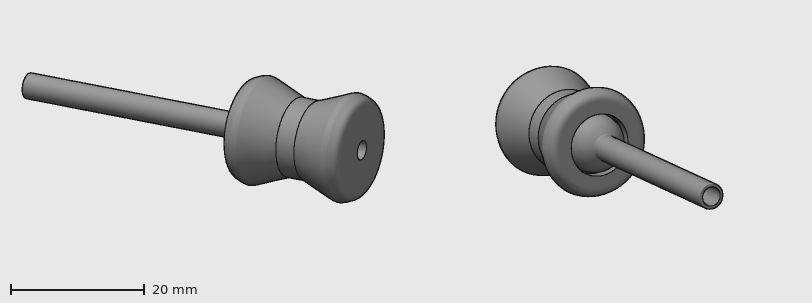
import cadquery as cq
import math

total_length = 56.75
bore_radius = 1.5

knob_length = 19.65
crest_slope = 21.5
knob_diameter = 16.75
crest_inset = 2.2
crest_round = 1.4
corner_round = 1.15
waist_radius = 6.15
waist_length = 3.05
recess_radius = 4.75

tube_radius = 2.0
ball_radius = 4.55
seat_depth = 1.9
tip_round = 0.15
neck_round = 0.3

ring_tolerance = 0.005

knob_start = total_length - knob_length
knob_middle = total_length - knob_length / 2
seat_x = knob_start + seat_depth


def make_bore():
    """Through bore shared by the tube and the knob."""
    return cq.Workplane("YZ").circle(bore_radius).extrude(total_length)


def ring_at(x):
    """Selector for the circular edge centred on the axis at x."""
    return cq.selectors.BoxSelector(
        (x - ring_tolerance, -knob_diameter, -knob_diameter),
        (x + ring_tolerance, knob_diameter, knob_diameter),
    )


def make_knob():
    """Spool turned about X, with a flat-bottomed recess for the half ball."""
    slope = math.radians(crest_slope)
    ridge_radius = knob_diameter / 2 + crest_round * (1 / math.cos(slope) - 1)
    end_radius = ridge_radius - crest_inset * math.tan(slope)
    left_ridge_x = knob_start + crest_inset
    right_ridge_x = total_length - crest_inset

    spool = (
        cq.Workplane("XY")
        .moveTo(knob_start, 0)
        .lineTo(knob_start, end_radius)
        .lineTo(left_ridge_x, ridge_radius)
        .lineTo(knob_middle - waist_length / 2, waist_radius)
        .lineTo(knob_middle + waist_length / 2, waist_radius)
        .lineTo(right_ridge_x, ridge_radius)
        .lineTo(total_length, end_radius)
        .lineTo(total_length, 0)
        .close()
        .revolve(360, (0, 0, 0), (1, 0, 0))
    )
    for ridge_x in (left_ridge_x, right_ridge_x):
        spool = spool.edges(ring_at(ridge_x)).fillet(crest_round)
    for end_x in (knob_start, total_length):
        spool = spool.edges(ring_at(end_x)).fillet(corner_round)
    recess = (
        cq.Workplane("YZ")
        .workplane(offset=knob_start)
        .circle(recess_radius)
        .extrude(seat_depth)
    )
    return spool.cut(recess).cut(make_bore())


def make_tube():
    """Tube running into a half ball, with a rounded tip and a filleted neck."""
    neck_x = seat_x - math.sqrt(ball_radius**2 - tube_radius**2)
    ball_angle = math.asin(tube_radius / ball_radius)
    middle_angle = (ball_angle + math.pi / 2) / 2
    tube = (
        cq.Workplane("XY")
        .lineTo(0, tube_radius)
        .lineTo(neck_x, tube_radius)
        .threePointArc(
            (seat_x - ball_radius * math.cos(middle_angle), ball_radius * math.sin(middle_angle)),
            (seat_x, ball_radius),
        )
        .lineTo(seat_x, 0)
        .close()
        .revolve(360, (0, 0, 0), (1, 0, 0))
    )
    tube = tube.edges(ring_at(neck_x)).fillet(neck_round)
    tube = tube.edges(ring_at(0)).fillet(tip_round)
    return tube.cut(make_bore())


knob = make_knob()
tube = make_tube()
result = cq.Compound.makeCompound([knob.val(), tube.val()])